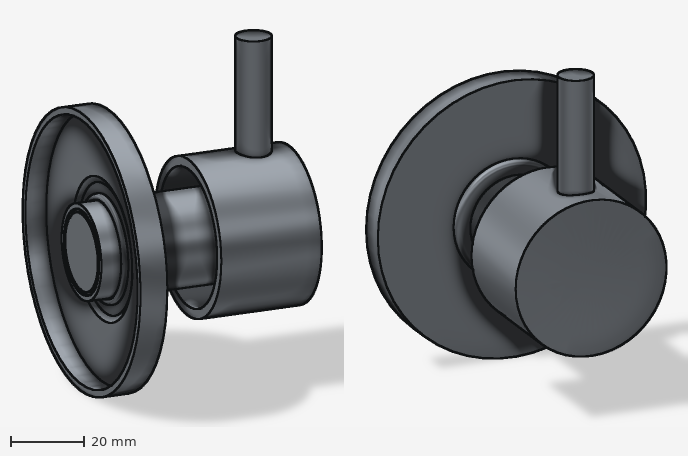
import cadquery as cq


plate_radius = 40.0
plate_depth = 8.0
plate_wall = 2.0
plate_web = 1.8
recess_radius = 20.25
recess_floor_radius = 18.45
recess_depth = 1.0
web_face = plate_depth - plate_web
recess_floor = web_face + recess_depth

collar_radius = 17.4
collar_height = 2.5
collar_fillet = 1.5

stem_radius = 13.5
groove_outer_radius = 12.0
groove_inner_radius = 11.0
groove_depth = 1.0

bead_radius = 15.4
bead_height = 1.4
bead_fillet = 0.9
bead_bore_radius = 13.75
bead_gap_depth = 0.5
bead_face = recess_floor - bead_height

overall_depth = 62.29
knob_radius = 22.5
knob_length = 30.0
knob_wall = 2.8
dome_height = 0.5
cavity_depth = 16.0
cavity_radius = knob_radius - knob_wall
knob_end = overall_depth - dome_height
knob_start = knob_end - knob_length
dome_sphere_radius = (knob_radius**2 + dome_height**2) / (2 * dome_height)

lever_radius = 5.0
lever_setback = 10.5
overall_height = 95.4
lever_top = overall_height - plate_radius


def cylinder(radius, start, end):
    """Cylinder about the Y axis from Y = start to Y = end."""
    return cq.Workplane("XZ", origin=(0, start, 0)).circle(radius).extrude(start - end)


def revolve_about_y(profile):
    """Full turn of a closed XY profile about the Y axis."""
    return profile.revolve(360, (0, 0), (0, 1))


def make_plate():
    plate = cylinder(plate_radius, 0, plate_depth)
    plate = plate.cut(cylinder(plate_radius - plate_wall, 0, web_face))
    recess_profile = [
        (0, web_face),
        (recess_radius, web_face),
        (recess_floor_radius, recess_floor),
        (0, recess_floor),
    ]
    return plate.cut(revolve_about_y(cq.Workplane("XY").polyline(recess_profile).close()))


def make_collar():
    collar = cylinder(collar_radius, plate_depth, plate_depth + collar_height)
    return collar.faces(">Y").edges().fillet(collar_fillet)


def make_bead():
    bead = cylinder(bead_radius, bead_face, recess_floor)
    bead = bead.faces("<Y").edges().fillet(bead_fillet)
    return bead.cut(cylinder(bead_bore_radius, bead_face, bead_face + bead_gap_depth))


def make_stem():
    stem = cylinder(stem_radius, 0, knob_end)
    groove = cylinder(groove_outer_radius, 0, groove_depth)
    groove = groove.cut(cylinder(groove_inner_radius, 0, groove_depth))
    return stem.cut(groove)


def make_knob():
    profile = (
        cq.Workplane("XY")
        .moveTo(0, knob_start)
        .lineTo(knob_radius, knob_start)
        .lineTo(knob_radius, knob_end)
        .radiusArc((0, overall_depth), -dome_sphere_radius)
        .close()
    )
    return revolve_about_y(profile).cut(cylinder(cavity_radius, knob_start, knob_start + cavity_depth))


def make_lever():
    base = cq.Workplane("XY", origin=(0, knob_end - lever_setback, cavity_radius))
    return base.circle(lever_radius).extrude(lever_top - cavity_radius)


result = (
    make_plate()
    .union(make_collar())
    .union(make_bead())
    .union(make_stem())
    .union(make_knob())
    .union(make_lever())
)